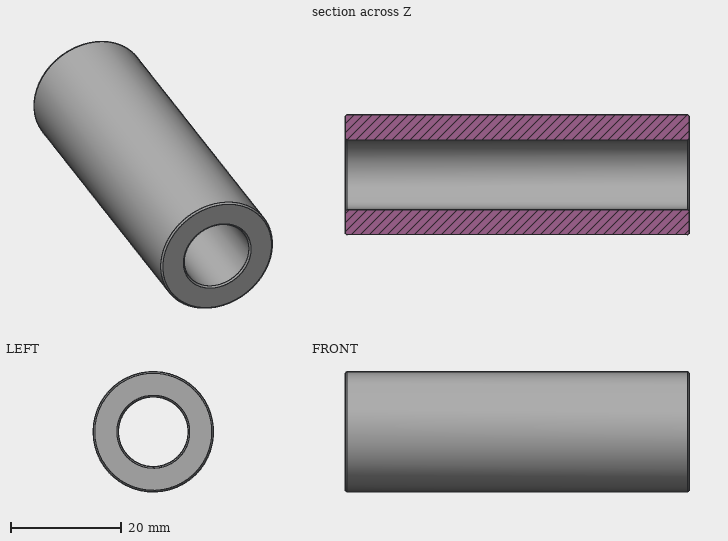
import cadquery as cq

length = 62.5
outer_diameter = 21.9
bore_diameter = 12.6
edge_chamfer = 0.3

sleeve = (
    cq.Workplane("YZ", origin=(-length / 2, 0, 0))
    .circle(outer_diameter / 2)
    .circle(bore_diameter / 2)
    .extrude(length)
)

result = sleeve.faces("<X or >X").edges().chamfer(edge_chamfer)